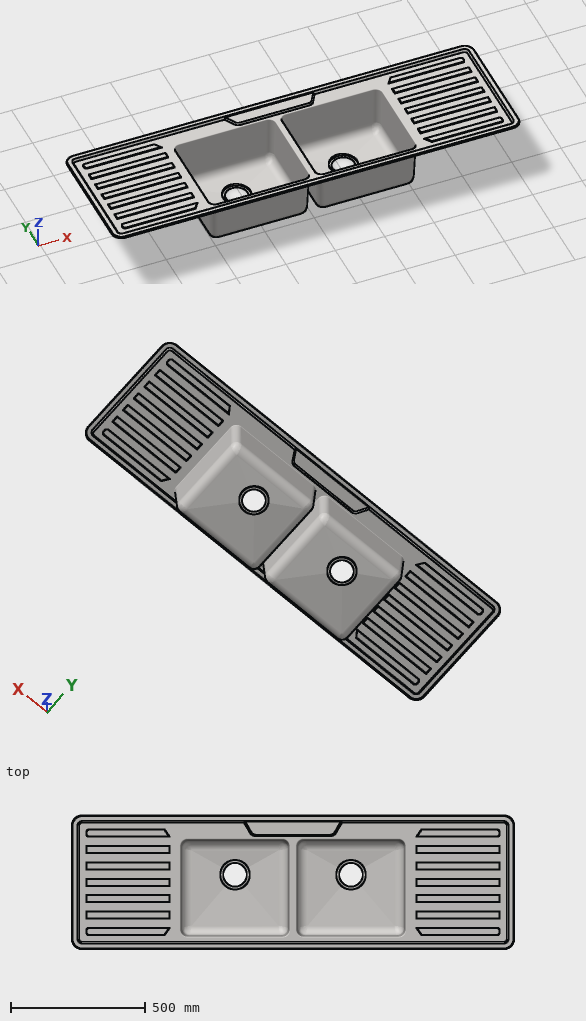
import cadquery as cq
LENGTH = 1650.0
WIDTH = 500.0
TOTAL_DEPTH = 218.0
SHEET = 1.0
CORNER_RADIUS = 40.0

LIP_WIDTH = 3.0
LIP_DROP = 5.0
RIM_INNER_INSET = 21.0
DECK_INSET = 28.0
DECK_DROP = 10.0

BOWL_LENGTH = 413.0
BOWL_WIDTH = 370.0
BOWL_GAP = 20.0
BOWL_CENTER_Y = -21.0
WALL_DRAFT_DEGREES = 2.0
WALL_CORNER_RADIUS = 26.0
FLOOR_RADIUS = 36.0
FLOOR_EDGE_DEPTH = 203.0
MOUTH_RADIUS = 3.0
PAD_MARGIN = 7.0

DRAIN_Y = 28.0
SEAT_DIAMETER = 109.0
DRAIN_HOLE_DIAMETER = 87.0
SEAT_HEIGHT = 13.0
APEX_DEPTH = 215.0

RIB_COUNT = 7
RIB_PITCH = 61.0
RIB_WIDTH = 28.0
RIB_HEIGHT = 2.5
RIB_SLOPE = 2.0
RIB_OUTER_X = 770.0
RIB_INNER_X = 459.0
RIB_SLANT = 20.0
RIB_CORNER_RADIUS = 10.0

LEDGE_BACK_LENGTH = 373.0
LEDGE_FRONT_LENGTH = 307.0
LEDGE_FRONT_Y = 172.0
LEDGE_CORNER_RADIUS = 25.0
LEDGE_HEIGHT = 7.0
LEDGE_SLOPE = 6.3

BODY_BOTTOM = -33.0

BOWL_X = (BOWL_LENGTH + BOWL_GAP) / 2


def sheet_outline(inset, z):
    """Wire of the rounded sheet outline, moved inward by inset, at height z."""
    plate = (
        cq.Workplane("XY", origin=(0, 0, z))
        .rect(LENGTH - 2 * inset, WIDTH - 2 * inset)
        .extrude(17)
        .edges("|Z")
        .fillet(CORNER_RADIUS - inset)
    )
    return plate.faces("<Z").wires().val()


def outline_loft(lower_inset, lower_z, upper_inset, upper_z):
    """Solid between two sheet outlines at different heights."""
    wires = [sheet_outline(lower_inset, lower_z), sheet_outline(upper_inset, upper_z)]
    return cq.Workplane(cq.Solid.makeLoft(wires, True))


def tap_ledge():
    """Raised block behind the bowls, sloping down to the deck at its front and sides."""
    back_y = WIDTH / 2 - RIM_INNER_INSET
    corners = [
        (-LEDGE_BACK_LENGTH / 2, back_y),
        (-LEDGE_FRONT_LENGTH / 2, LEDGE_FRONT_Y),
        (LEDGE_FRONT_LENGTH / 2, LEDGE_FRONT_Y),
        (LEDGE_BACK_LENGTH / 2, back_y),
    ]
    block = (
        cq.Workplane("XY", origin=(0, 0, -DECK_DROP))
        .polyline(corners)
        .close()
        .extrude(LEDGE_HEIGHT)
        .edges("|Z and <Y")
        .fillet(LEDGE_CORNER_RADIUS)
    )
    return block.faces(">Z").edges("not >Y").chamfer(LEDGE_SLOPE)


def drainer_rib(side, row):
    """Rib on the wing given by side (-1 or 1), in a row counted from the middle of the deck."""
    y = row * RIB_PITCH
    is_outermost = abs(row) == RIB_COUNT // 2
    slant = RIB_SLANT if is_outermost else 0
    half_width = RIB_WIDTH / 2 if row > 0 else -RIB_WIDTH / 2
    corners = [
        (side * RIB_INNER_X, y - half_width),
        (side * (RIB_INNER_X + slant), y + half_width),
        (side * RIB_OUTER_X, y + half_width),
        (side * RIB_OUTER_X, y - half_width),
    ]
    rib = cq.Workplane("XY", origin=(0, 0, -DECK_DROP)).polyline(corners).close().extrude(RIB_HEIGHT)
    if is_outermost:
        outer_end = ">X" if side > 0 else "<X"
        rib = rib.faces(outer_end).edges("|Z").fillet(RIB_CORNER_RADIUS)
    return rib.faces(">Z").edges().chamfer(RIB_SLOPE)


def deck_sheet():
    """Thin pressed deck with its raised rim, tap ledge and drainer ribs."""
    skirt = outline_loft(0, BODY_BOTTOM, 0, -LIP_DROP)
    rim = outline_loft(0, -LIP_DROP, LIP_WIDTH, 0)
    recess = outline_loft(DECK_INSET, -DECK_DROP, RIM_INNER_INSET, 0)
    body = skirt.union(rim).cut(recess).union(tap_ledge())
    for row in range(-(RIB_COUNT // 2), RIB_COUNT // 2 + 1):
        for side in (-1, 1):
            body = body.union(drainer_rib(side, row))
    return body.cut(body.translate((0, 0, -SHEET)))


def rounded_bowl(grow):
    """Filled tapered bowl with rounded corners and a floor falling to the drain from four sides."""
    wall_top = -DECK_DROP - grow
    floor_z = -FLOOR_EDGE_DEPTH - grow
    top_length = BOWL_LENGTH - 2 * MOUTH_RADIUS + 2 * grow
    top_width = BOWL_WIDTH - 2 * MOUTH_RADIUS + 2 * grow
    bowl = (
        cq.Workplane("XY", origin=(0, BOWL_CENTER_Y, wall_top))
        .rect(top_length, top_width)
        .extrude(floor_z - wall_top, taper=WALL_DRAFT_DEGREES)
    )
    bowl = bowl.edges("not(<Z or >Z)").fillet(WALL_CORNER_RADIUS + grow)
    bowl = bowl.faces("<Z").edges().fillet(FLOOR_RADIUS + grow)

    flat_floor = bowl.faces("<Z").val()
    apex = cq.Vector(0, DRAIN_Y, -APEX_DEPTH - grow)
    pyramid_faces = [flat_floor]
    for edge in flat_floor.Edges():
        triangle = cq.Wire.makePolygon([edge.startPoint(), edge.endPoint(), apex], close=True)
        pyramid_faces.append(cq.Face.makeFromWires(triangle))
    pyramid = cq.Solid.makeSolid(cq.Shell.makeShell(pyramid_faces))
    return bowl.union(cq.Workplane(pyramid))


def bowl_form(grow):
    """Filled bowl with its drain seat, flared at the mouth into a thin pad level with the deck.

    Growing it by the sheet thickness gives the outside of the bowl; no growth gives the inside.
    """
    pad = (
        cq.Workplane("XY", origin=(0, BOWL_CENTER_Y, -DECK_DROP - grow))
        .rect(BOWL_LENGTH + 2 * PAD_MARGIN, BOWL_WIDTH + 2 * PAD_MARGIN)
        .extrude(SHEET)
    )
    form = pad.union(rounded_bowl(grow))
    mouth_edges = form.faces("-Z").wires(cq.selectors.LengthNthSelector(0))
    form = mouth_edges.fillet(MOUTH_RADIUS - grow)
    seat = (
        cq.Workplane("XY", origin=(0, DRAIN_Y, SHEET - TOTAL_DEPTH - grow))
        .circle(SEAT_DIAMETER / 2 + grow)
        .extrude(SEAT_HEIGHT)
    )
    return form.union(seat)


def drain_hole():
    """Plug that opens the drain through the seat."""
    return (
        cq.Workplane("XY", origin=(0, DRAIN_Y, -TOTAL_DEPTH))
        .circle(DRAIN_HOLE_DIAMETER / 2)
        .extrude(SEAT_HEIGHT)
    )


bowl_outside = bowl_form(SHEET)
bowl_inside = bowl_form(0).union(drain_hole())

result = deck_sheet()
for bowl_x in (-BOWL_X, BOWL_X):
    position = (bowl_x, 0, 0)
    result = result.union(bowl_outside.translate(position))
    result = result.cut(bowl_inside.translate(position))